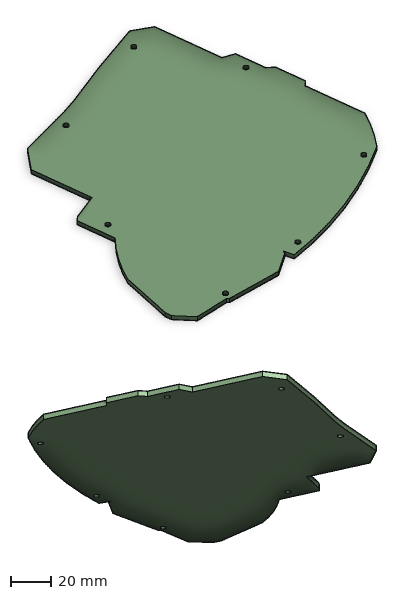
import cadquery as cq

width = 154.0
depth = 171.5
thickness = 3.0
hole_diameter = 3.0

upper_edge_y = 168.6
left_shoulder_y = 162.8
left_bottom_y = 47.2
foot_bottom_y = 29.8

left_top = (0.0, 153.7)
corner_start = (128.7, upper_edge_y)
corner_middle = (138.0, 161.0)
corner_end = (145.8, 152.7)
right_bulge = (width, 100.5)
right_end = (151.3, 67.8)
lobe_start = (90.7, 9.5)
lobe_middle = (80.0, 18.2)
lobe_end = (70.3, foot_bottom_y)

left_and_top = [
    (9.0, left_shoulder_y),
    (48.4, left_shoulder_y),
    (52.7, upper_edge_y),
    (70.3, upper_edge_y),
    (74.3, depth),
    (92.0, depth),
    (93.3, upper_edge_y),
    corner_start,
]

notch_and_tip = [
    (145.3, 67.0),
    (146.7, 66.4),
    (150.8, 54.0),
    (140.3, 25.2),
    (139.1, 24.5),
    (133.6, 6.2),
    (122.5, 0.0),
    (118.7, 0.0),
    lobe_start,
]

foot_and_left = [
    (47.9, foot_bottom_y),
    (46.7, 32.5),
    (45.6, left_bottom_y),
    (10.1, left_bottom_y),
    (0.7, 58.5),
    (2.4, 88.7),
    (2.4, 98.3),
    (0.7, 124.0),
]

hole_centers = [
    (62.1, 163.5),
    (7.5, 145.6),
    (143.5, 144.3),
    (8.2, 82.2),
    (148.0, 76.2),
    (62.3, 35.9),
    (136.7, 27.3),
]


def make_plate():
    outline = cq.Workplane("XY").moveTo(*left_top)
    for point in left_and_top:
        outline = outline.lineTo(*point)
    outline = outline.threePointArc(corner_middle, corner_end)
    outline = outline.threePointArc(right_bulge, right_end)
    for point in notch_and_tip:
        outline = outline.lineTo(*point)
    outline = outline.threePointArc(lobe_middle, lobe_end)
    for point in foot_and_left:
        outline = outline.lineTo(*point)
    return outline.close().extrude(thickness)


def make_holes():
    return cq.Workplane("XY").pushPoints(hole_centers).circle(hole_diameter / 2).extrude(thickness)


result = make_plate().cut(make_holes())